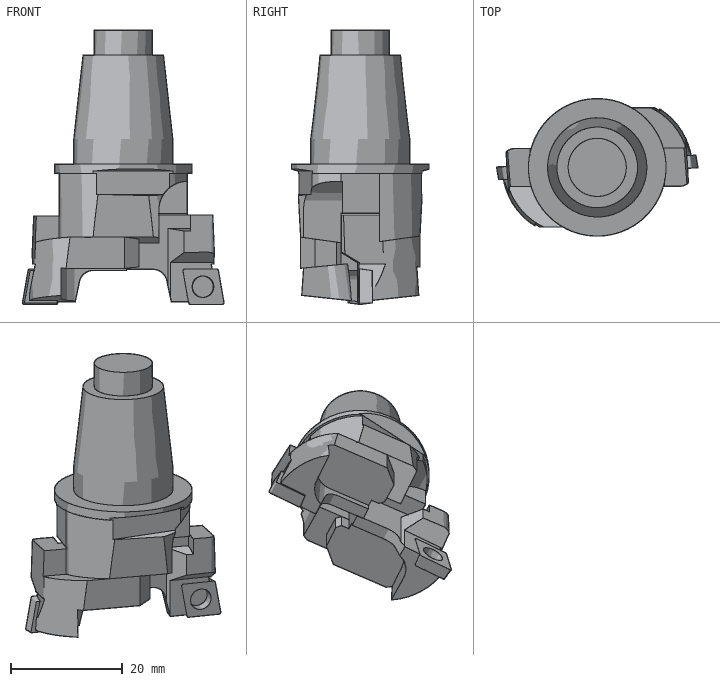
import cadquery as cq
import math


total_height = 49.0
pilot_diameter = 10.4
pilot_bottom = 44.55
taper_top_radius = 7.2
taper_bottom_radius = 8.85
taper_bottom = 29.5
flange_diameter = 24.6
flange_top = 25.1
flange_bottom = 23.4
body_radius = 11.95

slot_half_width = 3.45
slot_top = 16.25
seat_slope = math.radians(8)
seat_face_y = 10.7
seat_outer_height = 12.05

gully_wall_x = 6.35
gully_floor_y = 3.15
gully_radius = 5.1
gully_top = 22.0
flat_yaw = 10.0
flat_distance = 9.95
flat_top = 23.8
flat_bottom = 19.7
flat_top_slope = math.radians(10.6)
flat_bottom_slope = math.radians(8)
leaning_face_top_y = 11.05
leaning_face_slope = math.radians(3)

envelope_shift = 4.55
envelope_slope = math.radians(3.2)
envelope_base_radius = 12.45
wing_end_x = 2.85
wing_chamfer = 2.6
wing_end_y = -4.2
tongue_end_x = 0.6
tongue_face_y = 0.0
cartridge_top = 15.85
arch_top = 6.1
second_rise = 0.2
head_side_y = 3.4
head_inner_x = -12.05
head_round_x = -14.75
head_round_radius = 2.2
end_face_x = -15.8
end_face_yaw = 4.5
end_face_lean = 2.5
wedge_outer_x = -10.85
wedge_inner_x = -8.05
wedge_top = 12.95
chip_roof_inner = 7.3
chip_roof_outer = 9.25
arm_bottom = 0.5
arm_bottom_slope = math.radians(6.2)
clearance_top = 7.2
clearance_x = -15.75
clearance_slope = 0.2
relief_wall_x = -11.1
relief_side_y = -2.15
relief_round = 3.9
relief_lean = 8.0
relief_outer_height = 6.45
relief_slope = math.radians(5.5)
arch_foot_x = -8.65
arch_slope = math.radians(12)
arch_round = 2.45

insert_height = 6.35
insert_width = 6.35
insert_thickness = 2.3
insert_lean = math.radians(10)
insert_relief = 7.0
nose_radius = 0.4
insert_hole_diameter = 3.8
cutting_diameter = 36.0
outer_reach = cutting_diameter / 2
tip_y = 0.1
rake_yaw = 2.5

far = 29.4


def half_turn(shape):
    return shape.rotate((0, 0, 0), (0, 0, 1), 180)


def turn_to_rake(shape):
    """Turn a shape made on the plane y = tip_y onto the cutting face's plane."""
    return shape.rotate((-outer_reach, tip_y, 0), (-outer_reach, tip_y, 1), rake_yaw)


def prism_along_x(points, x_start, x_end):
    """Closed (y, z) outline swept from x_start to x_end."""
    return cq.Workplane("YZ", origin=(x_start, 0, 0)).polyline(points).close().extrude(x_end - x_start)


def prism_along_y(points, y_start, y_end):
    """Closed (x, z) outline swept from y_start to y_end."""
    return cq.Workplane("XZ", origin=(0, y_end, 0)).polyline(points).close().extrude(y_end - y_start)


def seat_height(y):
    return seat_outer_height - (seat_face_y - abs(y)) * math.tan(seat_slope)


def arm_bottom_height(y):
    return arm_bottom + abs(y) * math.tan(arm_bottom_slope)


def turned_body():
    """Pilot, taper, flange and shank, down to the lowest point of the seat."""
    pilot_radius = pilot_diameter / 2
    flange_radius = flange_diameter / 2
    outline = [
        (0, seat_height(0)),
        (body_radius, seat_height(0)),
        (body_radius, flange_bottom),
        (flange_radius, flange_bottom),
        (flange_radius, flange_top),
        (taper_bottom_radius, flange_top),
        (taper_bottom_radius, taper_bottom),
        (taper_top_radius, pilot_bottom),
        (pilot_radius, pilot_bottom),
        (pilot_radius, total_height),
        (0, total_height),
    ]
    return cq.Workplane("XZ").polyline(outline).close().revolve(360, (0, 0), (0, 1))


def seat_cutter():
    """Space below the V-shaped seat, whose +Y half lies higher."""
    outline = [
        (0, 0),
        (-far, 0),
        (-far, seat_height(far)),
        (0, seat_height(0)),
        (0, seat_height(0) + second_rise),
        (far, seat_height(far) + second_rise),
        (far, 0),
    ]
    return prism_along_x(outline, -far, far)


def slot_cutter():
    return cq.Workplane("XY").rect(2 * far, 2 * slot_half_width).extrude(slot_top)


def side_flat_cutter():
    """Flat on the -X side, as wide as the slot."""
    flat_x = math.sqrt(body_radius**2 - slot_half_width**2)
    return cq.Workplane("XY").rect(far, far).extrude(flange_bottom).translate((-flat_x - far / 2, 0, 0))


def gully_cutter():
    """Round-topped gully in the +X, -Y quarter."""
    round_centre_x = gully_wall_x + gully_radius
    return (
        cq.Workplane("XZ", origin=(0, -gully_floor_y, 0))
        .moveTo(gully_wall_x, 0)
        .lineTo(gully_wall_x, gully_top - gully_radius)
        .radiusArc((round_centre_x, gully_top), gully_radius)
        .lineTo(far, gully_top)
        .lineTo(far, 0)
        .close()
        .extrude(far)
    )


def slanted_flat_cutter():
    """Groove on the -Y side with a yawed flat floor and flared upper and lower walls."""
    flare = far - flat_distance
    outline = [
        (-flat_distance, flat_bottom),
        (-flat_distance, flat_top),
        (-far, flat_top + flare * math.tan(flat_top_slope)),
        (-far, flat_bottom - flare * math.tan(flat_bottom_slope)),
    ]
    return prism_along_x(outline, -far, far).rotate((0, 0, 0), (0, 0, 1), flat_yaw)


def leaning_face_cutter():
    """Face on the -Y side that leans inward towards the seat."""
    inset = flat_bottom * math.tan(leaning_face_slope)
    outline = [
        (-leaning_face_top_y, flat_bottom),
        (-far, flat_bottom),
        (-far, 0),
        (-leaning_face_top_y + inset, 0),
    ]
    return prism_along_x(outline, -far, far)


def make_body():
    body = turned_body().cut(seat_cutter()).cut(slot_cutter())
    for cutter in (side_flat_cutter(), gully_cutter(), slanted_flat_cutter(), leaning_face_cutter()):
        body = body.cut(cutter).cut(half_turn(cutter))
    return body


def insert_blank():
    """Rhombic insert without its hole."""
    tip_angle = math.pi / 2 - insert_lean
    nose_inset = nose_radius * (1 / math.tan(tip_angle / 2) - 1)
    tip_x = -outer_reach - nose_inset
    lean = insert_height * math.tan(insert_lean)
    corners = [
        (tip_x, 0),
        (tip_x + insert_width, 0),
        (tip_x + insert_width + lean, insert_height),
        (tip_x + lean, insert_height),
    ]
    sketch = cq.Sketch().polygon(corners + corners[:1]).vertices().fillet(nose_radius)
    blank = (
        cq.Workplane("XZ", origin=(0, tip_y, 0))
        .placeSketch(sketch)
        .extrude(insert_thickness, taper=insert_relief)
    )
    return turn_to_rake(blank)


def make_insert():
    hole_x = -outer_reach + (insert_width + insert_height * math.tan(insert_lean)) / 2
    hole = (
        cq.Workplane("XZ", origin=(hole_x, tip_y, insert_height / 2))
        .circle(insert_hole_diameter / 2)
        .extrude(insert_thickness)
    )
    return insert_blank().cut(turn_to_rake(hole))


def envelope(top):
    """Cone around the slid-out cartridge."""
    top_radius = envelope_base_radius - top * math.tan(envelope_slope)
    outline = [(0, 0), (envelope_base_radius, 0), (top_radius, top), (0, top)]
    cone = cq.Workplane("XZ").polyline(outline).close().revolve(360, (0, 0), (0, 1))
    return cone.translate((-envelope_shift, 0, 0))


def wing_and_tongue(rise):
    """Wing below the seat, tongue in the slot and arm, before relieving."""
    top = cartridge_top + rise
    section = [
        (-seat_face_y, arm_bottom_height(seat_face_y)),
        (-seat_face_y, seat_height(seat_face_y) + rise),
        (-slot_half_width, seat_height(slot_half_width) + rise),
        (-slot_half_width, top),
        (tongue_face_y, top),
        (tongue_face_y, arm_bottom),
    ]
    plan = [
        (-far, -seat_face_y),
        (wing_end_x - wing_chamfer, -seat_face_y),
        (wing_end_x, -seat_face_y + wing_chamfer),
        (wing_end_x, wing_end_y),
        (wing_end_x + wing_end_y + slot_half_width, -slot_half_width),
        (tongue_end_x, -slot_half_width),
        (tongue_end_x, tongue_face_y),
        (-far, tongue_face_y),
    ]
    footprint = cq.Workplane("XY").polyline(plan).close().extrude(top)
    return prism_along_x(section, -far, far).intersect(footprint).intersect(envelope(top))


def head(top):
    """Wide outer block with one rounded corner."""
    round_end_x = head_round_x - head_round_radius
    return (
        cq.Workplane("XY", origin=(0, 0, arm_bottom))
        .moveTo(head_inner_x, tongue_face_y)
        .lineTo(head_inner_x, head_side_y)
        .lineTo(head_round_x, head_side_y)
        .radiusArc((round_end_x, head_side_y - head_round_radius), -head_round_radius)
        .lineTo(round_end_x, tongue_face_y)
        .close()
        .extrude(top - arm_bottom)
    )


def wedge(rise):
    """Slanted step from the wide head to the narrow tongue."""
    plan = [
        (head_inner_x, tongue_face_y),
        (head_inner_x, head_side_y),
        (wedge_outer_x, head_side_y),
        (wedge_inner_x, tongue_face_y),
    ]
    footprint = cq.Workplane("XY").polyline(plan).close().extrude(cartridge_top)
    side_top = wedge_top + rise
    section = [
        (head_side_y, arm_bottom),
        (head_side_y, side_top),
        (tongue_face_y, side_top + (head_side_y - tongue_face_y) * math.tan(seat_slope)),
        (tongue_face_y, arm_bottom),
    ]
    return prism_along_x(section, -far, 0).intersect(footprint)


def end_face_cutter(top):
    """Space outside the leaning end face."""
    block = cq.Workplane("XY").box(far, 2 * far, 2 * far).translate((-far / 2, 0, 0))
    block = block.rotate((0, 0, 0), (0, 1, 0), end_face_lean).rotate((0, 0, 0), (0, 0, 1), end_face_yaw)
    above_clearance = cq.Workplane("XY", origin=(0, 0, clearance_top)).rect(2 * far, 2 * far).extrude(far)
    return block.translate((end_face_x, 0, top)).intersect(above_clearance)


def chip_space_cutter(rise):
    """Space in front of the cutting face, below a sloping roof."""
    roof_slope = (chip_roof_outer - chip_roof_inner) / (head_side_y - tip_y)
    outline = [
        (tip_y, 0),
        (tip_y, chip_roof_inner + rise),
        (far, chip_roof_inner + rise + roof_slope * (far - tip_y)),
        (far, 0),
    ]
    return turn_to_rake(prism_along_x(outline, -far, 0))


def clearance_cutter():
    """Flat that keeps the arm behind the insert's outer edge."""
    outline = [
        (clearance_x, clearance_top),
        (-far, clearance_top),
        (-far, 0),
        (clearance_x - clearance_slope * clearance_top, 0),
    ]
    return prism_along_y(outline, -far, far)


def wing_relief_cutter():
    """Space under the wing: a leaning pocket with a round corner and a sloping roof."""
    round_start_x = relief_wall_x + relief_round
    pocket = (
        cq.Workplane("XY", origin=(0, 0, -relief_outer_height))
        .moveTo(relief_wall_x, -far)
        .lineTo(relief_wall_x, relief_side_y - relief_round)
        .radiusArc((round_start_x, relief_side_y), relief_round)
        .lineTo(far, relief_side_y)
        .lineTo(far, -far)
        .close()
        .extrude(far)
        .rotate((0, relief_side_y, 0), (1, relief_side_y, 0), relief_lean)
        .translate((0, 0, relief_outer_height))
    )
    roof = [
        (-far, 0),
        (-far, relief_outer_height + (seat_face_y - far) * math.tan(relief_slope)),
        (0, relief_outer_height + seat_face_y * math.tan(relief_slope)),
        (0, 0),
    ]
    return pocket.intersect(prism_along_x(roof, -far, far))


def arch_cutter(height):
    """Arched opening between the two arms."""
    outline = [
        (arch_foot_x, 0),
        (arch_foot_x + height * math.tan(arch_slope), height),
        (far, height),
        (far, 0),
    ]
    arch = prism_along_y(outline, -far, far)
    return arch.edges("|Y").edges(">Z").edges("<X").fillet(arch_round)


def make_cartridge(rise):
    top = cartridge_top + rise
    cartridge = wing_and_tongue(rise).union(head(top)).union(wedge(rise))
    for cutter in (
        end_face_cutter(top),
        chip_space_cutter(rise),
        clearance_cutter(),
        wing_relief_cutter().translate((0, 0, rise)),
        arch_cutter(arch_top + rise),
        insert_blank(),
    ):
        cartridge = cartridge.cut(cutter)
    return cartridge


body = make_body()
cartridges = [
    make_cartridge(0),
    half_turn(make_cartridge(second_rise)),
]
inserts = [make_insert(), half_turn(make_insert())]

result = cq.Compound.makeCompound([part.solids().val() for part in [body, *cartridges, *inserts]])